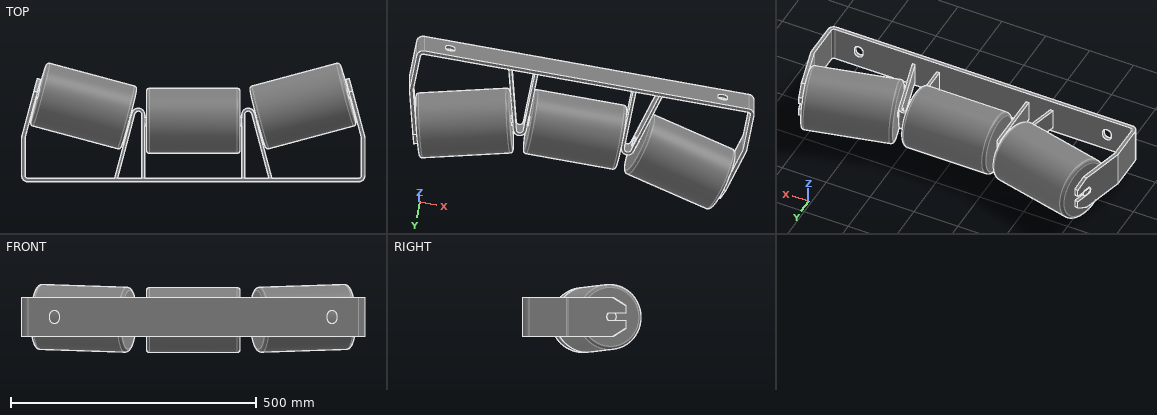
import cadquery as cq
import math


FRAME_LENGTH = 700.0
FRAME_HEIGHT = 80.0
FRAME_THICKNESS = 8.0
BEND_RADIUS = 13.0

TROUGH_ANGLE = 15.0
KINK_Y = 91.0
ARM_LENGTH = 123.0
TIP_CHAMFER_HEIGHT = 16.0
TIP_CHAMFER_LENGTH = 26.5

MOUNT_SLOT_X = 283.0
MOUNT_SLOT_WIDTH = 19.5
MOUNT_SLOT_HEIGHT = 26.5

BRACKET_THICKNESS = 6.0
BRACKET_HEIGHT = 46.0
BRACKET_BEND_X = 112.0
BRACKET_BEND_Y = 137.0

ROLLER_RADIUS = 66.5
ROLLER_LENGTH = 191.0
ROLLER_EDGE_RADIUS = 6.0
SHAFT_DIAMETER = 20.0
SHAFT_FLATS = 15.0
SHAFT_LENGTH = 208.5
MIDDLE_Y = 124.5
MIDDLE_Z = -6.0
WING_X = 223.0
WING_Y = 155.0
WING_Z = -3.0
WING_TILT = 1.8

SIDES = (-1, 1)
ARM_X = FRAME_LENGTH / 2 - FRAME_THICKNESS / 2
LEAN_SIN = math.sin(math.radians(TROUGH_ANGLE))
LEAN_COS = math.cos(math.radians(TROUGH_ANGLE))
LEAN_TAN = math.tan(math.radians(TROUGH_ANGLE))


def bent_bar(corners, thickness, height):
    """Flat bar swept along a centreline in the XY plane, with every corner rounded."""
    path = cq.Wire.makePolygon([cq.Vector(x, y, 0) for x, y in corners])
    bend_points = path.Vertices()[1:-1]
    path = path.fillet2D(BEND_RADIUS - thickness / 2, bend_points)
    section_plane = cq.Plane(origin=path.startPoint(), xDir=(0, 0, 1), normal=path.tangentAt(0))
    return cq.Workplane(section_plane).rect(height, thickness).sweep(cq.Workplane(path))


def shaft_section(length):
    """Round shaft along X with two flats facing up and down."""
    shaft = cq.Workplane("YZ", origin=(-length / 2, 0, 0)).circle(SHAFT_DIAMETER / 2).extrude(length)
    return shaft.intersect(cq.Workplane().box(length, SHAFT_DIAMETER, SHAFT_FLATS))


def open_shaft_slot():
    """Cutter for a slot that seats the shaft and opens toward +Y."""
    length = SHAFT_LENGTH + 2 * FRAME_THICKNESS
    mouth = cq.Workplane().box(length, ARM_LENGTH, SHAFT_FLATS, centered=(True, False, True))
    return shaft_section(length).union(mouth)


def roller():
    """Roller along X on its shaft, centred on the origin."""
    end_face = cq.Workplane("YZ", origin=(-ROLLER_LENGTH / 2, 0, 0))
    drum = end_face.circle(ROLLER_RADIUS).extrude(ROLLER_LENGTH)
    drum = drum.edges("%CIRCLE").fillet(ROLLER_EDGE_RADIUS)
    return drum.union(shaft_section(SHAFT_LENGTH))


def at_middle(shape):
    return shape.translate((0, MIDDLE_Y, MIDDLE_Z))


def at_wing(shape, side):
    tilted = shape.rotate((0, 0, 0), (0, 1, 0), -side * WING_TILT)
    leaning = tilted.rotate((0, 0, 0), (0, 0, 1), side * TROUGH_ANGLE)
    return leaning.translate((side * WING_X, WING_Y, WING_Z))


def arm_tip(side):
    """Centreline point at the free end of an arm."""
    return side * (ARM_X - ARM_LENGTH * LEAN_SIN), KINK_Y + ARM_LENGTH * LEAN_COS


def tip_chamfer_cutter(side):
    """Pair of triangular prisms that bevel the upper and lower corners of an arm tip."""
    tip_x, tip_y = arm_tip(side)
    plane = cq.Plane(
        origin=(tip_x, tip_y, 0),
        xDir=(-side * LEAN_SIN, LEAN_COS, 0),
        normal=(side * LEAN_COS, LEAN_SIN, 0),
    )
    cutter = cq.Workplane(plane)
    for edge in (-1, 1):
        corner_v = edge * FRAME_HEIGHT / 2
        cutter = cutter.polyline([
            (0, corner_v),
            (-TIP_CHAMFER_LENGTH, corner_v),
            (0, corner_v - edge * TIP_CHAMFER_HEIGHT),
        ]).close()
    return cutter.extrude(FRAME_THICKNESS, both=True)


def mount_slots():
    return (
        cq.Workplane("XZ")
        .pushPoints([(side * MOUNT_SLOT_X, 0) for side in SIDES])
        .slot2D(MOUNT_SLOT_HEIGHT, MOUNT_SLOT_WIDTH, 90)
        .extrude(-FRAME_THICKNESS)
    )


def frame():
    plate_y = FRAME_THICKNESS / 2
    corners = [
        arm_tip(-1),
        (-ARM_X, KINK_Y),
        (-ARM_X, plate_y),
        (ARM_X, plate_y),
        (ARM_X, KINK_Y),
        arm_tip(1),
    ]
    body = bent_bar(corners, FRAME_THICKNESS, FRAME_HEIGHT).cut(mount_slots())
    for side in SIDES:
        body = body.cut(tip_chamfer_cutter(side))
        body = body.cut(at_wing(open_shaft_slot(), side))
    return body


def bracket(side):
    """Hairpin with a straight leg beside the middle roller and a sloping leg beside the wing roller."""
    bend_radius = BEND_RADIUS - BRACKET_THICKNESS / 2
    straight_x = BRACKET_BEND_X - bend_radius
    apex_y = BRACKET_BEND_Y + bend_radius / math.tan(math.radians(TROUGH_ANGLE / 2))
    corners = [
        (side * straight_x, 0),
        (side * straight_x, apex_y),
        (side * (straight_x + apex_y * LEAN_TAN), 0),
    ]
    plate = cq.Workplane().box(FRAME_LENGTH, 2 * FRAME_THICKNESS, 2 * FRAME_HEIGHT)
    body = bent_bar(corners, BRACKET_THICKNESS, BRACKET_HEIGHT).translate((0, 0, MIDDLE_Z)).cut(plate)
    body = body.cut(at_middle(shaft_section(SHAFT_LENGTH)))
    return body.cut(at_wing(shaft_section(SHAFT_LENGTH), side))


brackets = [bracket(side) for side in SIDES]
middle_roller = at_middle(roller())
wing_rollers = [at_wing(roller(), side) for side in SIDES]

bodies = [frame(), *brackets, middle_roller, *wing_rollers]
result = cq.Compound.makeCompound([body.solids().val() for body in bodies])